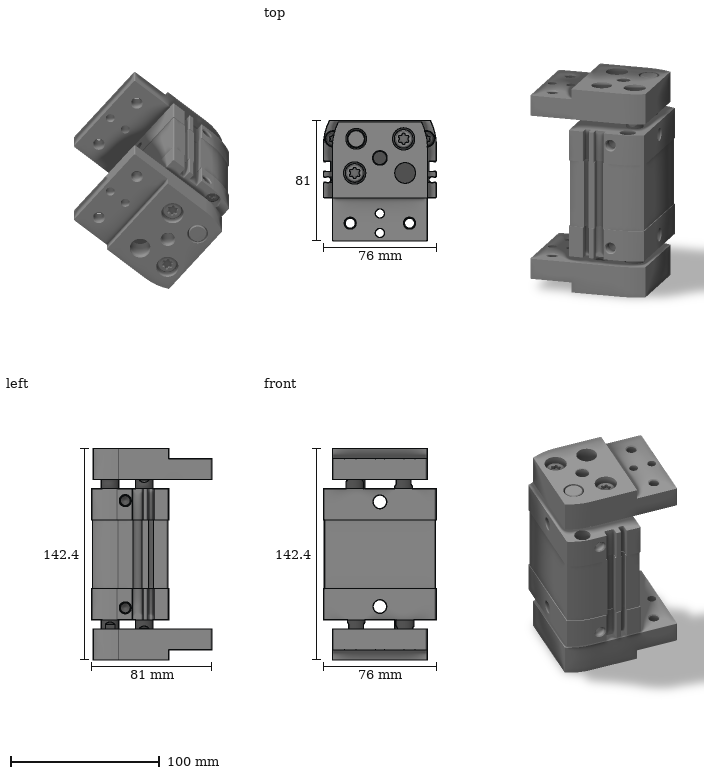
import cadquery as cq
import math

TOTAL_HEIGHT = 142.4
PLATE_THICKNESS = 21.1
PLATE_GAP = 6.0
HOUSING_WIDTH = 76.0
HOUSING_DEPTH = 52.0
CAP_HEIGHT = 21.1
TUBE_INSET = 0.5
CORNER_ROUNDING = 0.9

HALF_HEIGHT = TOTAL_HEIGHT / 2
PLATE_INNER_Z = HALF_HEIGHT - PLATE_THICKNESS
HOUSING_HALF_HEIGHT = PLATE_INNER_Z - PLATE_GAP
TUBE_HALF_HEIGHT = HOUSING_HALF_HEIGHT - CAP_HEIGHT
HOUSING_HALF_WIDTH = HOUSING_WIDTH / 2

BACK_ARC_RADIUS = HOUSING_HALF_WIDTH
BACK_ARC_LENGTH_Y = 17.1
BACK_ARC_STEP = BACK_ARC_RADIUS - math.sqrt(BACK_ARC_RADIUS**2 - BACK_ARC_LENGTH_Y**2)

PLATE_WIDTH = 64.0
PLATE_HALF_WIDTH = PLATE_WIDTH / 2
PLATE_BACK_Y = 51.0
FLANGE_REACH = 29.0
FLANGE_STEP = 7.0
FLANGE_THREAD_X = 20.0
FLANGE_THREAD_Y = -17.1
FLANGE_PIN_PITCH = 13.1
FLANGE_PIN_DIAMETER = 6.0
THREAD_DIAMETER = 6.7
THREAD_CHAMFER = 0.7
CENTER_HOLE_Y = 26.8
CENTER_HOLE_DIAMETER = 9.0
CENTER_HOLE_CHAMFER = 0.4
CLEARANCE_DIAMETER = 14.0

ROD_DIAMETER = 12.0
GUIDE_ROD_X = 16.0
GUIDE_ROD_Y = 39.6
PISTON_ROD_X = 17.0
PISTON_ROD_Y = 16.7
GUIDE_ROD_END_CHAMFER = 0.5
WRENCH_WIDTH = 10.1
WRENCH_RUNOUT = 1.5
GUIDE_WRENCH_LENGTH = 3.0
PISTON_WRENCH_LENGTH = 0.3

ROD_SCREW_BORE = 15.0
ROD_SCREW_BORE_DEPTH = 8.0
ROD_SCREW_HEAD = 12.5
ROD_SCREW_HEAD_DEPTH = 4.0
ROD_SCREW_ROUNDING = 0.9
ROD_SCREW_CORE = 5.7
ROD_SCREW_LOBE = 2.0

CAP_SCREW_X = 31.3
CAP_SCREW_BORE = 11.0
CAP_SCREW_BORE_DEPTH = 12.8
CAP_SCREW_HEAD = 10.1
CAP_SCREW_HEAD_DEPTH = 8.0
CAP_SCREW_ROUNDING = 1.0
CAP_SCREW_CORE = 4.0
CAP_SCREW_LOBE = 1.4
SOCKET_DEPTH = 2.5
SOCKET_LOBES = 6

SIDE_PORT_Y = 29.3
SIDE_PORT_Z = 36.0
SIDE_PORT_DEPTH = 8.0
DRILL_TIP_ANGLE = 118.0
CROSS_HOLE_DIAMETER = 9.0
CROSS_HOLE_Z = 35.2
CHAMBER_DIAMETER = 10.1
CHAMBER_Y = 8.4
CHAMBER_END_WALL = 1.3

WIDE_SLOT_Y = 21.1
CAP_WIDE_SLOT = 7.0
CAP_WIDE_DEPTH = 5.0
TUBE_WIDE_SLOT = 6.5
TUBE_WIDE_MOUTH = 5.8
TUBE_WIDE_DEPTH = 5.4
TUBE_LIP = 1.0
WIDE_SLOT_ROUNDING = 0.5
NARROW_SLOT_Y = 12.1
CAP_NARROW_SLOT = 4.0
CAP_NARROW_DEPTH = 6.0
TUBE_NARROW_MOUTH = 3.1
TUBE_ROUND_SLOT = 4.0
TUBE_NARROW_DEPTH = 5.0
NARROW_SLOT_ROUNDING = 1.0
MOUTH_ROUNDING = 0.5


def body_block(half_width, front_y, back_y, bottom_z, top_z):
    """Upright block with square front corners and arched back corners."""
    arc_start_y = back_y - BACK_ARC_LENGTH_Y
    back_half_width = half_width - BACK_ARC_STEP
    mid_y = arc_start_y + BACK_ARC_LENGTH_Y / 2
    mid_step = BACK_ARC_RADIUS - math.sqrt(BACK_ARC_RADIUS**2 - (BACK_ARC_LENGTH_Y / 2) ** 2)
    mid_x = half_width - mid_step
    return (
        cq.Workplane("XY", origin=(0, 0, bottom_z))
        .moveTo(-half_width, front_y)
        .lineTo(half_width, front_y)
        .lineTo(half_width, arc_start_y)
        .threePointArc((mid_x, mid_y), (back_half_width, back_y))
        .lineTo(-back_half_width, back_y)
        .threePointArc((-mid_x, mid_y), (-half_width, arc_start_y))
        .close()
        .extrude(top_z - bottom_z)
    )


def cylinder(x, y, diameter, bottom_z, top_z):
    return cq.Workplane("XY", origin=(x, y, bottom_z)).circle(diameter / 2).extrude(top_z - bottom_z)


def chamfered_hole(x, y, diameter, chamfer, bottom_z, top_z):
    """Cutter for a through hole that is countersunk at both ends."""
    radius = diameter / 2
    wide = radius + chamfer
    profile = [
        (0, bottom_z),
        (wide, bottom_z),
        (radius, bottom_z + chamfer),
        (radius, top_z - chamfer),
        (wide, top_z),
        (0, top_z),
    ]
    return cq.Workplane("XZ").polyline(profile).close().revolve(360, (0, 0), (0, 1)).translate((x, y, 0))


def screw_head(x, y, diameter, rounding, core, lobe, bottom_z, top_z):
    """Round screw head with a six-lobed socket in its top face."""
    head = cylinder(x, y, diameter, bottom_z, top_z).faces(">Z").edges().fillet(rounding)
    socket_z = top_z - SOCKET_DEPTH
    head = head.cut(cylinder(x, y, core, socket_z, top_z))
    for i in range(SOCKET_LOBES):
        angle = math.radians(90 + 360 * i / SOCKET_LOBES)
        lobe_x = x + core / 2 * math.cos(angle)
        lobe_y = y + core / 2 * math.sin(angle)
        head = head.cut(cylinder(lobe_x, lobe_y, lobe, socket_z, top_z))
    return head


def rod(x, y, wrench_length, bottom_z):
    """Rod hanging from the plate, with two wrench flats that run out just below it."""
    shaft = cylinder(x, y, ROD_DIAMETER, bottom_z, PLATE_INNER_Z)
    flat_x = WRENCH_WIDTH / 2
    outer_x = ROD_DIAMETER / 2
    flat_z = PLATE_INNER_Z - wrench_length
    for side in (-1, 1):
        profile = [
            (side * flat_x, PLATE_INNER_Z),
            (side * flat_x, flat_z),
            (side * outer_x, flat_z - WRENCH_RUNOUT),
            (side * ROD_DIAMETER, flat_z - WRENCH_RUNOUT),
            (side * ROD_DIAMETER, PLATE_INNER_Z),
        ]
        flat = cq.Workplane("XZ").polyline(profile).close().extrude(outer_x, both=True)
        shaft = shaft.cut(flat.translate((x, y, 0)))
    return shaft


def carriage_plate():
    """Arched plate with a thinner flange in front, and the holes of both."""
    flange_top_z = HALF_HEIGHT - FLANGE_STEP
    plate = body_block(PLATE_HALF_WIDTH, 0, PLATE_BACK_Y, PLATE_INNER_Z, HALF_HEIGHT)
    flange = (
        cq.Workplane("XY", origin=(0, -FLANGE_REACH / 2, PLATE_INNER_Z))
        .rect(PLATE_WIDTH, FLANGE_REACH)
        .extrude(flange_top_z - PLATE_INNER_Z)
        .edges("|Z and <Y")
        .fillet(CORNER_ROUNDING)
    )
    plate = plate.union(flange)

    for side in (-1, 1):
        plate = plate.cut(
            chamfered_hole(
                side * FLANGE_THREAD_X,
                FLANGE_THREAD_Y,
                THREAD_DIAMETER,
                THREAD_CHAMFER,
                PLATE_INNER_Z,
                flange_top_z,
            )
        )
        pin_y = FLANGE_THREAD_Y + side * FLANGE_PIN_PITCH / 2
        plate = plate.cut(cylinder(0, pin_y, FLANGE_PIN_DIAMETER, PLATE_INNER_Z, flange_top_z))

    plate = plate.cut(
        chamfered_hole(
            0, CENTER_HOLE_Y, CENTER_HOLE_DIAMETER, CENTER_HOLE_CHAMFER, PLATE_INNER_Z, HALF_HEIGHT
        )
    )
    for x, y in ((-GUIDE_ROD_X, GUIDE_ROD_Y), (PISTON_ROD_X, PISTON_ROD_Y)):
        plate = plate.cut(cylinder(x, y, CLEARANCE_DIAMETER, PLATE_INNER_Z, HALF_HEIGHT))
    return plate


def upper_carriage():
    """Top plate with its guide rod, its piston rod and the screws that hold them."""
    carriage = carriage_plate()
    bore_z = HALF_HEIGHT - ROD_SCREW_BORE_DEPTH
    head_z = HALF_HEIGHT - ROD_SCREW_HEAD_DEPTH
    for x, y in ((GUIDE_ROD_X, GUIDE_ROD_Y), (-PISTON_ROD_X, PISTON_ROD_Y)):
        carriage = carriage.cut(cylinder(x, y, ROD_SCREW_BORE, bore_z, HALF_HEIGHT))
        carriage = carriage.union(
            screw_head(
                x, y, ROD_SCREW_HEAD, ROD_SCREW_ROUNDING, ROD_SCREW_CORE, ROD_SCREW_LOBE, bore_z, head_z
            )
        )
    guide_rod = rod(GUIDE_ROD_X, GUIDE_ROD_Y, GUIDE_WRENCH_LENGTH, -HALF_HEIGHT)
    guide_rod = guide_rod.faces("<Z").edges().chamfer(GUIDE_ROD_END_CHAMFER)
    piston_rod = rod(-PISTON_ROD_X, PISTON_ROD_Y, PISTON_WRENCH_LENGTH, TUBE_HALF_HEIGHT)
    return carriage.union(guide_rod).union(piston_rod)


def turned_over(body):
    """Half turn about the Y axis: swaps top with bottom and left with right."""
    return body.rotate((0, 0, 0), (0, 1, 0), 180)


def side_slot(slot_y, width, mouth_x, floor_x, z_range):
    """Straight cutter for one slot in the +X side, from its mouth to its floor."""
    bottom_z, top_z = z_range
    return (
        cq.Workplane("XY", origin=((mouth_x + floor_x) / 2, slot_y, bottom_z))
        .rect(mouth_x - floor_x, width)
        .extrude(top_z - bottom_z)
    )


def on_both_sides(shape):
    return shape.union(shape.mirror("YZ"))


def cap_slots(z_range):
    """Plain side slots of a cap, with rounded floor corners."""
    mouth_x = HOUSING_HALF_WIDTH
    wide_slot = side_slot(WIDE_SLOT_Y, CAP_WIDE_SLOT, mouth_x, mouth_x - CAP_WIDE_DEPTH, z_range)
    wide_slot = wide_slot.edges("|Z and <X").fillet(WIDE_SLOT_ROUNDING)
    narrow_slot = side_slot(NARROW_SLOT_Y, CAP_NARROW_SLOT, mouth_x, mouth_x - CAP_NARROW_DEPTH, z_range)
    narrow_slot = narrow_slot.edges("|Z and <X").fillet(NARROW_SLOT_ROUNDING)
    return on_both_sides(wide_slot.union(narrow_slot))


def tube_slots(z_range):
    """Sensor slots of the tube: a wide one behind lips and a narrow one with a round floor."""
    mouth_x = HOUSING_HALF_WIDTH - TUBE_INSET
    lip_x = mouth_x - TUBE_LIP
    wide_floor_x = HOUSING_HALF_WIDTH - TUBE_WIDE_DEPTH
    round_x = HOUSING_HALF_WIDTH - TUBE_NARROW_DEPTH + TUBE_ROUND_SLOT / 2
    slots = side_slot(WIDE_SLOT_Y, TUBE_WIDE_MOUTH, mouth_x, lip_x, z_range)
    slots = slots.union(side_slot(WIDE_SLOT_Y, TUBE_WIDE_SLOT, lip_x, wide_floor_x, z_range))
    slots = slots.union(side_slot(NARROW_SLOT_Y, TUBE_NARROW_MOUTH, mouth_x, round_x, z_range))
    slots = slots.union(cylinder(round_x, NARROW_SLOT_Y, TUBE_ROUND_SLOT, *z_range))
    return on_both_sides(slots)


def round_slot_mouths(block):
    """Round the upright edges where the slots open in the side faces."""
    wide_top_y = WIDE_SLOT_Y + CAP_WIDE_SLOT / 2
    narrow_bottom_y = NARROW_SLOT_Y - CAP_NARROW_SLOT / 2
    reach = CORNER_ROUNDING / 2
    for side in (-1, 1):
        face_x = side * HOUSING_HALF_WIDTH
        mouths = cq.selectors.BoxSelector(
            (face_x - reach, narrow_bottom_y - reach, 0),
            (face_x + reach, wide_top_y + reach, HOUSING_HALF_HEIGHT),
        )
        block = block.edges(mouths).edges("|Z").fillet(MOUTH_ROUNDING)
    return block


def side_ports():
    """Cutters for the drilled and countersunk ports in both side faces of the top cap."""
    radius = THREAD_DIAMETER / 2
    face_x = HOUSING_HALF_WIDTH
    drill_x = face_x - SIDE_PORT_DEPTH
    tip_x = drill_x - radius / math.tan(math.radians(DRILL_TIP_ANGLE / 2))
    profile = [
        (face_x, 0),
        (face_x, radius + THREAD_CHAMFER),
        (face_x - THREAD_CHAMFER, radius),
        (drill_x, radius),
        (tip_x, 0),
    ]
    port = cq.Workplane("XY").polyline(profile).close().revolve(360, (0, 0), (1, 0))
    return on_both_sides(port.translate((0, SIDE_PORT_Y, SIDE_PORT_Z)))


def cross_hole():
    """Cutter for the front-to-back hole of the top cap and the upright chamber it runs through."""
    bore = (
        cq.Workplane("XZ", origin=(0, 0, CROSS_HOLE_Z))
        .circle(CROSS_HOLE_DIAMETER / 2)
        .extrude(-HOUSING_DEPTH)
    )
    chamber_end_z = HOUSING_HALF_HEIGHT - CHAMBER_END_WALL
    return bore.union(cylinder(0, CHAMBER_Y, CHAMBER_DIAMETER, TUBE_HALF_HEIGHT, chamber_end_z))


def top_cap():
    """Top end of the housing with its slots, ports, cross hole and two sunk screws."""
    z_range = (TUBE_HALF_HEIGHT, HOUSING_HALF_HEIGHT)
    block = body_block(HOUSING_HALF_WIDTH, 0, HOUSING_DEPTH, *z_range)
    block = block.edges("|Z and <Y").fillet(CORNER_ROUNDING)
    block = round_slot_mouths(block.cut(cap_slots(z_range)))
    block = block.cut(side_ports()).cut(cross_hole())

    bore_z = HOUSING_HALF_HEIGHT - CAP_SCREW_BORE_DEPTH
    head_z = HOUSING_HALF_HEIGHT - CAP_SCREW_HEAD_DEPTH
    for x in (-CAP_SCREW_X, CAP_SCREW_X):
        block = block.cut(cylinder(x, GUIDE_ROD_Y, CAP_SCREW_BORE, bore_z, HOUSING_HALF_HEIGHT))
        block = block.union(
            screw_head(
                x,
                GUIDE_ROD_Y,
                CAP_SCREW_HEAD,
                CAP_SCREW_ROUNDING,
                CAP_SCREW_CORE,
                CAP_SCREW_LOBE,
                bore_z,
                head_z,
            )
        )
    return block


def tube():
    """Middle of the housing, set in a little from the caps all round."""
    z_range = (-TUBE_HALF_HEIGHT, TUBE_HALF_HEIGHT)
    block = body_block(HOUSING_HALF_WIDTH - TUBE_INSET, TUBE_INSET, HOUSING_DEPTH - TUBE_INSET, *z_range)
    block = block.edges("|Z and <Y").fillet(CORNER_ROUNDING)
    return block.cut(tube_slots(z_range))


def housing_body():
    """Tube between two caps, bored for the guide rods and for the ends of the piston rods."""
    cap = top_cap()
    body = tube().union(cap).union(turned_over(cap))
    guide_bore = cylinder(GUIDE_ROD_X, GUIDE_ROD_Y, ROD_DIAMETER, -HOUSING_HALF_HEIGHT, HOUSING_HALF_HEIGHT)
    piston_bore = cylinder(-PISTON_ROD_X, PISTON_ROD_Y, ROD_DIAMETER, TUBE_HALF_HEIGHT, HOUSING_HALF_HEIGHT)
    for bore in (guide_bore, piston_bore):
        body = body.cut(bore).cut(turned_over(bore))
    return body


top_carriage = upper_carriage()
bottom_carriage = turned_over(top_carriage)
housing = housing_body()
result = cq.Compound.makeCompound([housing.val(), top_carriage.val(), bottom_carriage.val()])